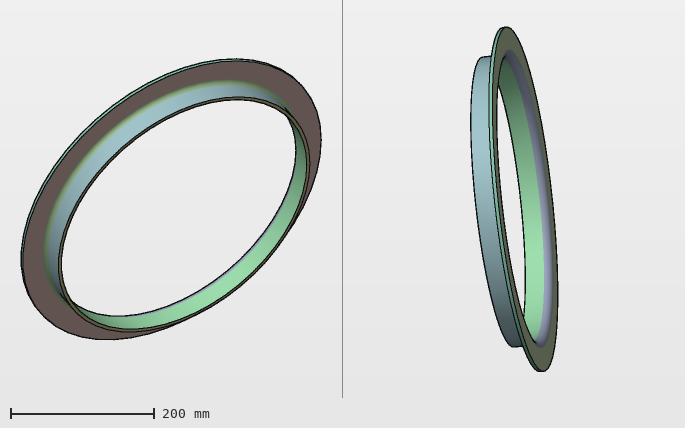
import cadquery as cq
import math

flange_diameter = 482.0
tube_outer_diameter = 406.5
bore_diameter = 396.0
total_length = 38.0

wall = (tube_outer_diameter - bore_diameter) / 2
inner_bend_radius = 11.0
outer_bend_radius = inner_bend_radius - wall

flange_radius = flange_diameter / 2
tube_outer_radius = tube_outer_diameter / 2
bore_radius = bore_diameter / 2

bend_center = (inner_bend_radius, bore_radius + inner_bend_radius)
diagonal = math.sqrt(0.5)


def bend_midpoint(radius):
    """Middle of the quarter arc that faces the axis and the flange face."""
    return (bend_center[0] - radius * diagonal, bend_center[1] - radius * diagonal)


section = (
    cq.Workplane("XY")
    .moveTo(0, flange_radius)
    .lineTo(0, bend_center[1])
    .threePointArc(bend_midpoint(inner_bend_radius), (bend_center[0], bore_radius))
    .lineTo(total_length, bore_radius)
    .lineTo(total_length, tube_outer_radius)
    .lineTo(bend_center[0], tube_outer_radius)
    .threePointArc(bend_midpoint(outer_bend_radius), (wall, bend_center[1]))
    .lineTo(wall, flange_radius)
    .close()
)

result = section.revolve(360, (0, 0, 0), (1, 0, 0))